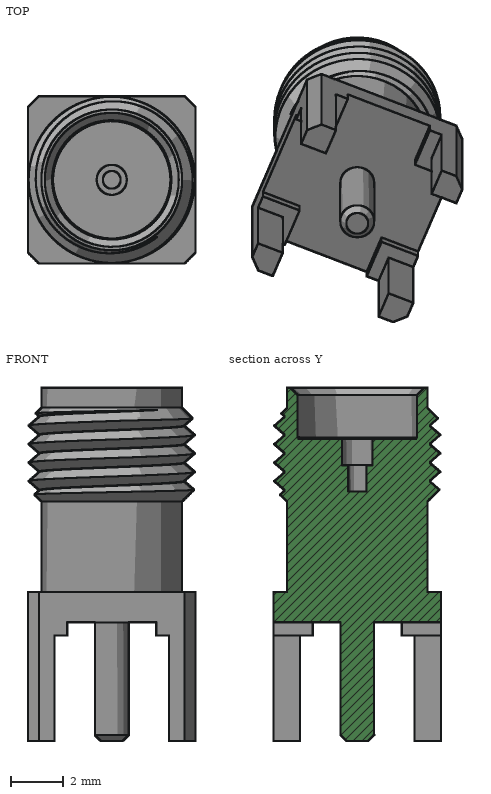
import cadquery as cq
import math

base_width = 6.4
base_top = 5.7
corner_chamfer = 0.42
leg_width = 1.02
leg_length = 4.03
foot_width = 1.51
plate_underside = 4.53

pin_diameter = 1.3
pin_tip_chamfer = 0.23

barrel_radius = 2.69
barrel_top = 13.5
thread_bottom = 9.145
thread_top = 12.73
thread_radius = 3.175
thread_root_radius = 2.78
thread_pitch = 25.4 / 36
ridge_embed = 0.01
ridge_gap = 0.002
spare_turns = 1
crest_height = 12.045

bore_radius = 2.28
mouth_radius = 2.56
bore_depth = 1.9
floor_recess_radius = 2.24
floor_recess_depth = 0.06

socket_radius = 0.575
socket_depth = 1.0
socket_pilot_radius = 0.34
socket_pilot_depth = 1.0


def make_base():
    base = (
        cq.Workplane("XY")
        .rect(base_width, base_width)
        .extrude(base_top)
        .edges("|Z")
        .chamfer(corner_chamfer)
    )
    for edge_width, height in ((leg_width, leg_length), (foot_width, plate_underside)):
        slot_width = base_width - 2 * edge_width
        for size_x, size_y in ((base_width, slot_width), (slot_width, base_width)):
            slot = cq.Workplane("XY").rect(size_x, size_y).extrude(height)
            base = base.cut(slot)
    return base


def make_pin():
    pin = cq.Workplane("XY").circle(pin_diameter / 2).extrude(base_top)
    return pin.faces("<Z").chamfer(pin_tip_chamfer)


def make_barrel():
    return cq.Workplane("XY", origin=(0, 0, base_top)).circle(barrel_radius).extrude(barrel_top - base_top)


def make_ridge():
    """Right-hand helical ridge that runs past both ends of the thread."""
    foot_radius = thread_root_radius - ridge_embed
    half_foot = (thread_pitch - ridge_gap) / 2
    turns = math.ceil((thread_top - thread_bottom) / thread_pitch) + 2 * spare_turns
    start_height = crest_height + (spare_turns + 1 - turns) * thread_pitch
    helix = cq.Wire.makeHelix(thread_pitch, turns * thread_pitch, foot_radius)
    ridge = (
        cq.Workplane("XZ")
        .moveTo(foot_radius, -half_foot)
        .lineTo(thread_radius, 0)
        .lineTo(foot_radius, half_foot)
        .close()
        .sweep(cq.Workplane(obj=helix), isFrenet=True)
    )
    return ridge.rotate((0, 0, 0), (0, 0, 1), 180).translate((0, 0, start_height))


def make_thread():
    """Ridge on its root cylinder, trimmed at each end by a 45 degree cone."""
    length = thread_top - thread_bottom
    root = (
        cq.Workplane("XY", origin=(0, 0, thread_bottom - thread_pitch))
        .circle(thread_root_radius)
        .extrude(length + 2 * thread_pitch)
    )
    trim = (
        cq.Workplane("XZ")
        .moveTo(0, thread_bottom)
        .lineTo(barrel_radius, thread_bottom)
        .lineTo(barrel_radius + length / 2, thread_bottom + length / 2)
        .lineTo(barrel_radius, thread_top)
        .lineTo(0, thread_top)
        .close()
        .revolve(360, (0, 0, 0), (0, 1, 0))
    )
    return root.union(make_ridge()).intersect(trim)


def make_bore():
    mouth_depth = mouth_radius - bore_radius
    floor = barrel_top - bore_depth - floor_recess_depth
    bore = cq.Workplane("XY", origin=(0, 0, barrel_top)).circle(bore_radius).extrude(-bore_depth)
    mouth = cq.Workplane(obj=cq.Solid.makeCone(
        bore_radius, mouth_radius, mouth_depth, pnt=cq.Vector(0, 0, barrel_top - mouth_depth)
    ))
    recess = cq.Workplane("XY", origin=(0, 0, floor)).circle(floor_recess_radius).extrude(bore_depth)
    socket = cq.Workplane("XY", origin=(0, 0, floor)).circle(socket_radius).extrude(-socket_depth)
    pilot_length = socket_depth + socket_pilot_depth
    pilot = cq.Workplane("XY", origin=(0, 0, floor)).circle(socket_pilot_radius).extrude(-pilot_length)
    return bore.union(mouth).union(recess).union(socket).union(pilot)


body = make_base().union(make_pin()).union(make_barrel()).union(make_thread())
result = body.cut(make_bore())